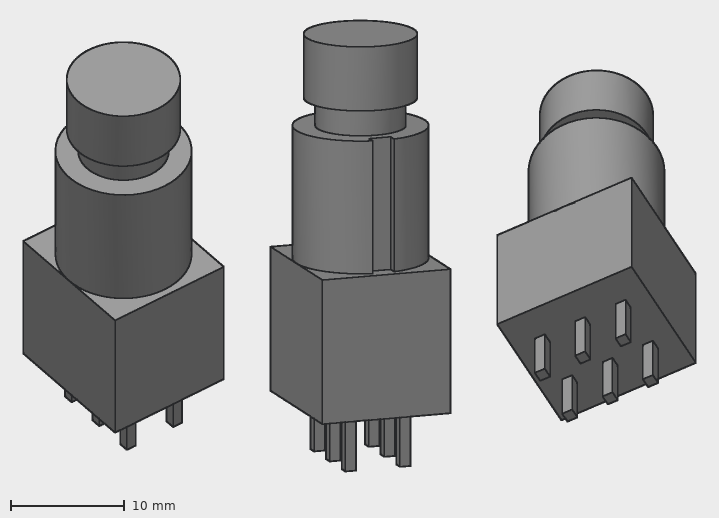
import cadquery as cq

total_height = 38.3
housing_length = 13.4
housing_width = 12.0
housing_height = 13.02

pin_length = 5.0
pin_side = 1.0
pin_columns = 3
pin_rows = 2
pin_column_pitch = 4.02
pin_row_pitch = 5.1

bushing_diameter = housing_width
bushing_height = 12.0
keyway_width = 2.0
keyway_depth = 1.0

stem_diameter = 8.0
stem_height = 2.5
cap_diameter = 10.0

housing_bottom = pin_length
bushing_bottom = housing_bottom + housing_height
stem_bottom = bushing_bottom + bushing_height
cap_bottom = stem_bottom + stem_height
cap_height = total_height - cap_bottom


def cylinder(diameter, height, bottom):
    """Upright cylinder on the central axis."""
    return cq.Workplane("XY", origin=(0, 0, bottom)).circle(diameter / 2).extrude(height)


def make_housing():
    """Rectangular switch body."""
    base = cq.Workplane("XY", origin=(0, 0, housing_bottom))
    return base.rect(housing_length, housing_width).extrude(housing_height)


def make_bushing():
    """Round bushing with a full-height keyway."""
    bushing = cylinder(bushing_diameter, bushing_height, bushing_bottom)
    keyway = (
        cq.Workplane("XY", origin=(-bushing_diameter / 2, 0, bushing_bottom))
        .rect(2 * keyway_depth, keyway_width)
        .extrude(bushing_height)
    )
    return bushing.cut(keyway)


def make_button():
    """Narrow stem carrying a wider round cap."""
    stem = cylinder(stem_diameter, stem_height, stem_bottom)
    cap = cylinder(cap_diameter, cap_height, cap_bottom)
    return stem.union(cap)


def make_pin(x, y):
    """Square terminal below the housing."""
    return cq.Workplane("XY", origin=(x, y, 0)).rect(pin_side, pin_side).extrude(pin_length)


housing = make_housing()
bushing = make_bushing()
button = make_button()

pins = []
for column in range(pin_columns):
    for row in range(pin_rows):
        pin_x = (column - (pin_columns - 1) / 2) * pin_column_pitch
        pin_y = (row - (pin_rows - 1) / 2) * pin_row_pitch
        pins.append(make_pin(pin_x, pin_y).val())

result = cq.Compound.makeCompound([housing.val(), bushing.val(), button.val(), *pins])